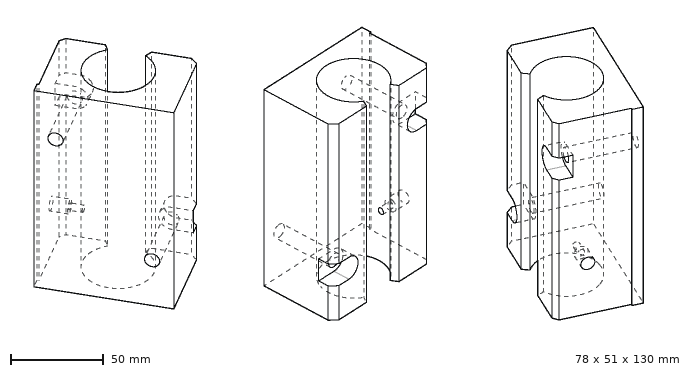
import cadquery as cq
import math

width = 78.0
depth = 51.0
height = 130.0
left_x = -width / 2
right_x = width / 2
front_y = -depth / 2
back_y = depth / 2

relief = 1.0
ledge_depth = 6.5
corner_chamfer = 4.0

bore_radius = 20.0
bore_y = 4.3
throat_half_width = 10.5
mouth_half_width = 12.9

mount_diameter = 8.5
mount_x = 26.9
mount_edge_distance = 30.0
head_slot_width = 14.5
head_slot_depth = 10.9

side_hole_y = 6.0
side_hole_z = 33.5
side_hole_diameter = 4.0
side_counterbore_diameter = 8.0
side_counterbore_depth = 10.4


def make_block():
    relieved_x = left_x + relief
    outline = [
        (left_x, front_y),
        (right_x, front_y),
        (right_x, back_y - corner_chamfer),
        (right_x - corner_chamfer, back_y),
        (left_x + corner_chamfer, back_y),
        (relieved_x, back_y - corner_chamfer + relief),
        (relieved_x, front_y + ledge_depth),
        (left_x, front_y + ledge_depth),
    ]
    return cq.Workplane("XY").polyline(outline).close().extrude(height)


def make_bore():
    throat_y = bore_y + math.sqrt(bore_radius**2 - throat_half_width**2)
    return (
        cq.Workplane("XY")
        .moveTo(-mouth_half_width, back_y)
        .lineTo(-throat_half_width, throat_y)
        .threePointArc((0, bore_y - bore_radius), (throat_half_width, throat_y))
        .lineTo(mouth_half_width, back_y)
        .close()
        .extrude(height)
    )


def make_mount(side, z):
    """Through hole along Y; its head slot runs out of the given side (-1 left, 1 right)."""
    x = side * mount_x
    hole = (
        cq.Workplane("XZ", origin=(x, back_y, z))
        .circle(mount_diameter / 2)
        .extrude(depth)
    )
    head = (
        cq.Workplane("XZ", origin=(x, back_y, z))
        .circle(head_slot_width / 2)
        .extrude(head_slot_depth)
    )
    run_out = (
        cq.Workplane("XZ", origin=(side * (mount_x + width / 2) / 2, back_y, z))
        .rect(width / 2 - mount_x, head_slot_width)
        .extrude(head_slot_depth)
    )
    return hole.union(head).union(run_out)


def make_side_hole():
    relieved_x = left_x + relief
    plane = cq.Workplane("YZ", origin=(relieved_x, side_hole_y, side_hole_z))
    pilot = plane.circle(side_hole_diameter / 2).extrude(-relieved_x)
    counterbore = plane.circle(side_counterbore_diameter / 2).extrude(side_counterbore_depth)
    return pilot.union(counterbore)


result = (
    make_block()
    .cut(make_bore())
    .cut(make_mount(-1, height - mount_edge_distance))
    .cut(make_mount(1, mount_edge_distance))
    .cut(make_side_hole())
)